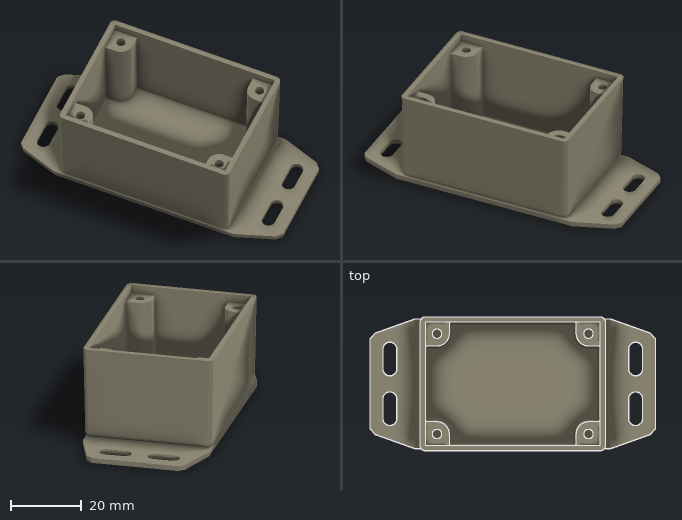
import cadquery as cq
import math

plate_length = 81.0
plate_width = 36.85
wall = 1.45
plate_end_half_width = 12.7
chamfer_depth = 1.5
chamfer_half_width = 14.4
slant_depth = 12.8

slot_width = 3.9
slot_length = 9.5
slot_end_distance = 5.7
slot_spacing = 14.1

box_length = 52.5
box_width = 38.0
total_height = 28.5
box_height = total_height - wall
draft_angle = 1.0
inner_fillet = 0.5
joint_search_distance = 0.8

post_drop = 2.5
post_radius = 3.5
hole_diameter = 2.7
hole_inset = 3.3

cavity_length = box_length - 2 * wall
cavity_width = box_width - 2 * wall
cavity_depth = box_height - wall
post_height = cavity_depth - post_drop
post_top = total_height - post_drop
post_x = cavity_length / 2 - hole_inset
post_y = cavity_width / 2 - hole_inset
signs = (-1, 1)
corners = [(x_sign, y_sign) for x_sign in signs for y_sign in signs]


def make_plate():
    """Flat plate with tapering, chamfered ends and four slots."""
    end_x = plate_length / 2
    quarter = [
        (end_x, plate_end_half_width),
        (end_x - chamfer_depth, chamfer_half_width),
        (end_x - slant_depth, plate_width / 2),
    ]
    upper = quarter + [(-x, y) for x, y in reversed(quarter)]
    lower = [(x, -y) for x, y in reversed(upper)]
    slot_x = end_x - slot_end_distance
    slot_centres = [(x_sign * slot_x, y_sign * slot_spacing / 2) for x_sign, y_sign in corners]
    slots = cq.Workplane("XY").pushPoints(slot_centres).slot2D(slot_length, slot_width, 90).extrude(wall)
    return cq.Workplane("XY").polyline(upper + lower).close().extrude(wall).cut(slots)


def drafted_block(length, width, depth):
    """Rectangular block hanging from the rim, narrowing downward."""
    return (
        cq.Workplane("XY", origin=(0, 0, total_height))
        .rect(length, width)
        .extrude(-depth, taper=draft_angle)
    )


def make_post(x_sign, y_sign):
    """Post that widens downward, rounded on the edge facing the box centre."""
    outer_x = box_length / 2
    outer_y = box_width / 2
    inner_x = post_x - post_radius
    inner_y = post_y - post_radius
    mid_offset = post_radius * math.sqrt(0.5)
    post = (
        cq.Workplane("XY", origin=(0, 0, post_top))
        .moveTo(outer_x, outer_y)
        .lineTo(inner_x, outer_y)
        .lineTo(inner_x, post_y)
        .threePointArc((post_x - mid_offset, post_y - mid_offset), (post_x, inner_y))
        .lineTo(outer_x, inner_y)
        .close()
        .extrude(-box_height, taper=-draft_angle)
    )
    if x_sign < 0:
        post = post.mirror("YZ")
    if y_sign < 0:
        post = post.mirror("XZ")
    return post


def make_cavity():
    """Inside of the box: drafted, kept clear of the posts, rounded at the posts and floor."""
    cavity = drafted_block(cavity_length, cavity_width, cavity_depth)
    for x_sign, y_sign in corners:
        cavity = cavity.cut(make_post(x_sign, y_sign))
    near_wall_x = cavity_length / 2 - joint_search_distance
    near_wall_y = cavity_width / 2 - joint_search_distance
    post_joints = cavity.edges("not #Z").filter(
        lambda edge: edge.Center().z < post_top
        and (abs(edge.Center().x) > near_wall_x or abs(edge.Center().y) > near_wall_y)
    )
    return post_joints.fillet(inner_fillet).faces("<Z").edges().fillet(inner_fillet)


def make_box():
    """Open drafted box with rounded outside edges and a screw post in each corner."""
    shell = drafted_block(box_length, box_width, box_height)
    shell = shell.edges("not #Z").fillet(wall)
    shell = shell.faces("<Z").edges().fillet(wall)
    hole_centres = [(x_sign * post_x, y_sign * post_y) for x_sign, y_sign in corners]
    holes = (
        cq.Workplane("XY", origin=(0, 0, post_top))
        .pushPoints(hole_centres)
        .circle(hole_diameter / 2)
        .extrude(-post_height)
    )
    return shell.cut(make_cavity()).cut(holes)


plate = make_plate()
box = make_box()
result = cq.Compound.makeCompound([plate.val(), box.val()])